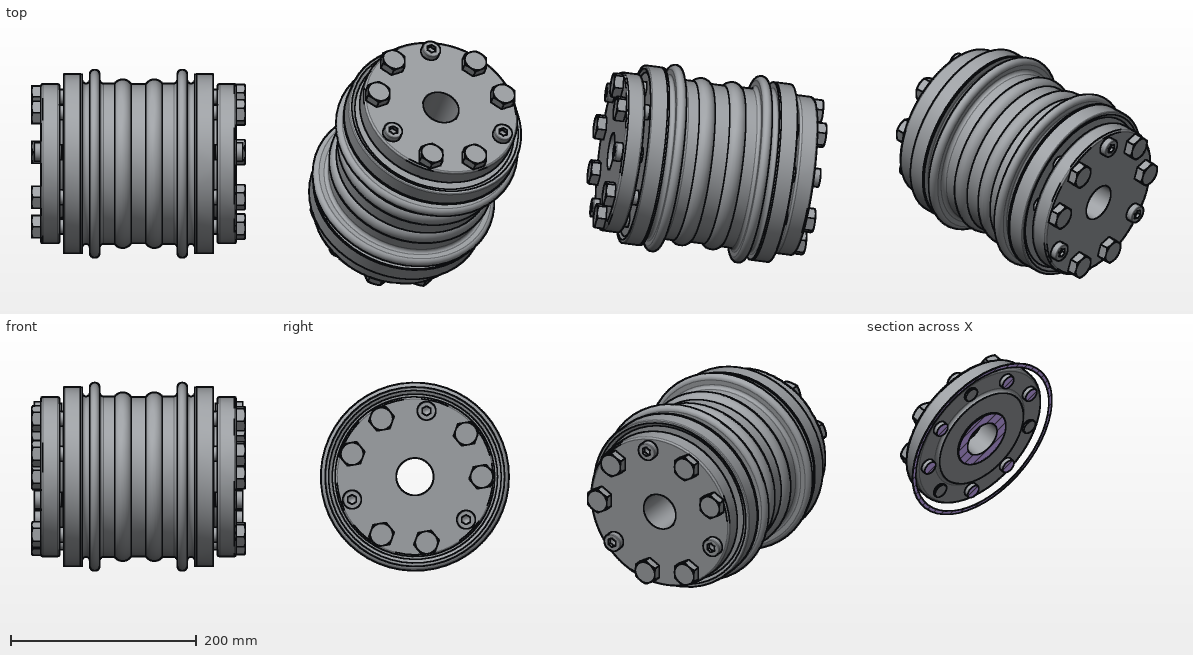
import cadquery as cq
import math

BORE_DIA = 40.0

FULL_TURN = 360.0
AXIS_START = (0, 0, 0)
AXIS_END = (1, 0, 0)

FLANGE_DIA = 172.0
FLANGE_WIDTH = 20.0
FLANGE_OUTER_X = 105.0
FLANGE_OUTER_FILLET = 2.0
FLANGE_INNER_FILLET = 2.5
FLANGE_INNER_X = FLANGE_OUTER_X - FLANGE_WIDTH

BOSS_DIA = 116.0
BOSS_HEIGHT = 4.0

CORE_DIA = 66.0

RING_DIA = 193.5
RING_LAND_DIA = 193.2
RING_OUTER_X = 80.5
RING_WIDTH = 20.0
RING_LAND_WIDTH = 2.0
RING_FILLET = 1.0
RECESS_MOUTH_DIA = 186.0
RECESS_FLOOR_DIA = 178.0
RECESS_DEPTH = 2.0

BODY_DIA = 173.2
WAIST_DIA = 172.0
RIDGE_DIA = 203.0
RIDGE_X = 47.15
RIDGE_RADIUS = 5.45
RIDGE_FOOT_FILLET = 4.0
BULGE_DIA = 182.0
BULGE_X = 17.0
BULGE_OUTER_X = 25.6

BOLT_CIRCLE_RADIUS = 72.0
BOLT_POSITIONS = 9
SOCKET_SPACING = 3
SHANK_DIA = 16.0

HEX_SIDES = 6
HEX_FLATS = 24.0
HEX_HEIGHT = 10.0
HEX_CROWN_ANGLE = 30.0
HEX_TURN_LEFT = 30.0
HEX_TURN_RIGHT = 10.0

SOCKET_HEAD_DIA = 20.0
SOCKET_HEAD_HEIGHT = 7.5
SOCKET_HEAD_FILLET = 0.75
SOCKET_FLATS = 9.0
SOCKET_TURN = 30.0
SOCKET_DEPTH = 4.0
SOCKET_CONE_DEPTH = 2.5
SOCKET_END_PROJECTION = 2.5


def across_corners(flats):
    """Corner-to-corner size of a hexagon given its size across flats."""
    return flats / math.cos(math.pi / HEX_SIDES)


def circle_height(radius, offset):
    """Height of a circle of the given radius at a distance from its centre."""
    return math.sqrt(radius**2 - offset**2)


def x_cylinder(diameter, x_start, x_end):
    """Cylinder on the X axis between two X positions."""
    return cq.Workplane("YZ", origin=(x_start, 0, 0)).circle(diameter / 2).extrude(x_end - x_start)


def bellows_half():
    """Ring and bellows body on the -X side, one solid of revolution about X."""
    ring_left = -RING_OUTER_X
    ring_right = ring_left + RING_WIDTH
    ring_radius = RING_DIA / 2
    land_radius = RING_LAND_DIA / 2
    land_left = ring_right - RING_LAND_WIDTH
    body_radius = BODY_DIA / 2
    waist_radius = WAIST_DIA / 2
    ridge_left = -RIDGE_X - RIDGE_RADIUS
    ridge_right = -RIDGE_X + RIDGE_RADIUS
    ridge_centre_radius = RIDGE_DIA / 2 - RIDGE_RADIUS
    foot_top = body_radius + RIDGE_FOOT_FILLET
    groove_radius = (ridge_left - ring_right) / 2
    groove_top = body_radius + groove_radius
    diagonal = RIDGE_FOOT_FILLET * math.sqrt(0.5)
    foot_mid = foot_top - diagonal
    fillet_mid = RING_FILLET * (1 - math.sqrt(0.5))

    crest = BULGE_DIA / 2
    foot_offset = BULGE_OUTER_X - BULGE_X
    rise = crest - body_radius
    bulge_radius = (foot_offset**2 + rise**2) / (2 * rise)
    centre_height = crest - bulge_radius
    bulge_inner_x = -BULGE_X + circle_height(bulge_radius, waist_radius - centre_height)

    profile = (
        cq.Workplane("XY")
        .moveTo(0, 0)
        .lineTo(ring_left + RECESS_DEPTH, 0)
        .lineTo(ring_left + RECESS_DEPTH, RECESS_FLOOR_DIA / 2)
        .lineTo(ring_left, RECESS_MOUTH_DIA / 2)
        .lineTo(ring_left, ring_radius - RING_FILLET)
        .threePointArc(
            (ring_left + fillet_mid, ring_radius - fillet_mid),
            (ring_left + RING_FILLET, ring_radius),
        )
        .lineTo(land_left, ring_radius)
        .lineTo(land_left, land_radius)
        .lineTo(ring_right, land_radius)
        .lineTo(ring_right, groove_top)
        .threePointArc((ring_right + groove_radius, body_radius), (ridge_left, groove_top))
        .lineTo(ridge_left, ridge_centre_radius)
        .threePointArc((-RIDGE_X, RIDGE_DIA / 2), (ridge_right, ridge_centre_radius))
        .lineTo(ridge_right, foot_top)
        .threePointArc(
            (ridge_right + RIDGE_FOOT_FILLET - diagonal, foot_mid),
            (ridge_right + RIDGE_FOOT_FILLET, body_radius),
        )
        .lineTo(-BULGE_OUTER_X, body_radius)
        .threePointArc((-BULGE_X, crest), (bulge_inner_x, waist_radius))
        .lineTo(0, waist_radius)
        .close()
    )
    return profile.revolve(FULL_TURN, AXIS_START, AXIS_END)


def flange():
    """Clamping flange on the -X side with its locating boss."""
    disc = x_cylinder(FLANGE_DIA, -FLANGE_OUTER_X, -FLANGE_INNER_X)
    disc = disc.faces("<X").edges().fillet(FLANGE_OUTER_FILLET)
    disc = disc.faces(">X").edges().fillet(FLANGE_INNER_FILLET)
    flank = BOSS_HEIGHT * math.sqrt(0.5)
    boss_base_x = -FLANGE_INNER_X
    boss_end_x = boss_base_x + BOSS_HEIGHT
    boss_radius = BOSS_DIA / 2
    boss_base_radius = boss_radius + BOSS_HEIGHT
    boss = (
        cq.Workplane("XY")
        .moveTo(boss_base_x, 0)
        .lineTo(boss_base_x, boss_base_radius)
        .threePointArc((boss_end_x - flank, boss_base_radius - flank), (boss_end_x, boss_radius))
        .lineTo(boss_end_x, 0)
        .close()
        .revolve(FULL_TURN, AXIS_START, AXIS_END)
    )
    return disc.union(boss)


def hex_screw(turn):
    """Hexagon screw on the X axis: crowned head outside the flange, shank down to the recess floor."""
    corners = across_corners(HEX_FLATS)
    head = (
        cq.Workplane("YZ", origin=(-FLANGE_OUTER_X, 0, 0))
        .transformed(rotate=(0, 0, turn))
        .polygon(HEX_SIDES, corners)
        .extrude(-HEX_HEIGHT)
    )
    top = -FLANGE_OUTER_X - HEX_HEIGHT
    crown_drop = (corners - HEX_FLATS) / 2 * math.tan(math.radians(HEX_CROWN_ANGLE))
    crown = (
        cq.Workplane("XY")
        .moveTo(top, 0)
        .lineTo(top, HEX_FLATS / 2)
        .lineTo(top + crown_drop, corners / 2)
        .lineTo(-FLANGE_OUTER_X, corners / 2)
        .lineTo(-FLANGE_OUTER_X, 0)
        .close()
        .revolve(FULL_TURN, AXIS_START, AXIS_END)
    )
    shank = x_cylinder(SHANK_DIA, -FLANGE_OUTER_X, -RING_OUTER_X + RECESS_DEPTH)
    return head.intersect(crown).union(shank)


def socket_screw():
    """Socket head screw on the X axis; its end stands slightly proud of the flange's inner face."""
    top = -FLANGE_OUTER_X - SOCKET_HEAD_HEIGHT
    head = x_cylinder(SOCKET_HEAD_DIA, top, -FLANGE_OUTER_X)
    head = head.faces("<X").edges().fillet(SOCKET_HEAD_FILLET)
    shank = x_cylinder(SHANK_DIA, -FLANGE_OUTER_X, -FLANGE_INNER_X + SOCKET_END_PROJECTION)
    corners = across_corners(SOCKET_FLATS)
    hexagon = (
        cq.Workplane("YZ", origin=(top, 0, 0))
        .transformed(rotate=(0, 0, SOCKET_TURN))
        .polygon(HEX_SIDES, corners)
        .extrude(SOCKET_DEPTH + SOCKET_CONE_DEPTH)
    )
    drill = (
        cq.Workplane("XY")
        .moveTo(top, 0)
        .lineTo(top, corners / 2)
        .lineTo(top + SOCKET_DEPTH, corners / 2)
        .lineTo(top + SOCKET_DEPTH + SOCKET_CONE_DEPTH, 0)
        .close()
        .revolve(FULL_TURN, AXIS_START, AXIS_END)
    )
    return head.union(shank).cut(hexagon.intersect(drill))


def coupling_half(hex_turn):
    """The -X half of the coupling with all its screws."""
    half = bellows_half().union(flange())
    hexagon_screw = hex_screw(hex_turn)
    cap_screw = socket_screw()
    for position in range(BOLT_POSITIONS):
        angle = math.radians(position * FULL_TURN / BOLT_POSITIONS)
        is_socket = (position + 1) % SOCKET_SPACING == 0
        screw = cap_screw if is_socket else hexagon_screw
        y = BOLT_CIRCLE_RADIUS * math.cos(angle)
        z = BOLT_CIRCLE_RADIUS * math.sin(angle)
        half = half.union(screw.translate((0, y, z)))
    return half


left_half = coupling_half(HEX_TURN_LEFT)
right_half = coupling_half(HEX_TURN_RIGHT).mirror("YZ")
core = x_cylinder(CORE_DIA, -FLANGE_INNER_X, FLANGE_INNER_X)
bore = x_cylinder(BORE_DIA, -FLANGE_OUTER_X, FLANGE_OUTER_X)
result = left_half.union(right_half).union(core).cut(bore)